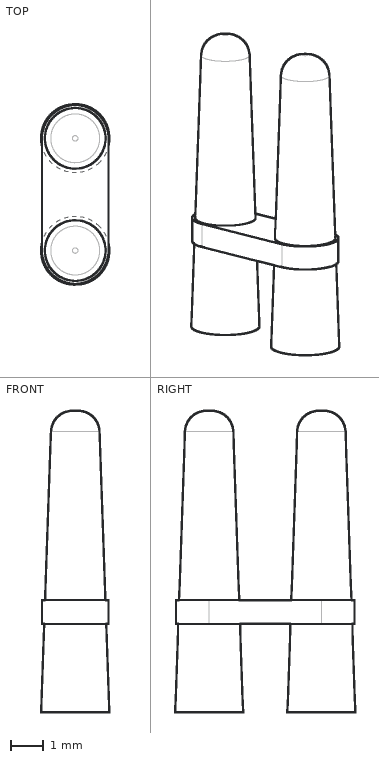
import cadquery as cq
import math

height = 9.4
base_diameter = 2.13
overall_length = 5.63

draft_angle = 2.0
tip_rounding = 0.68
pin_spacing = overall_length - base_diameter
base_radius = base_diameter / 2
top_radius = base_radius - height * math.tan(math.radians(draft_angle))

web_width = 2.08
web_bottom = 2.75
web_thickness = 0.74


def make_pin(y):
    """Tapered pin whose rounded tip keeps a tiny flat at the top."""
    cone = cq.Solid.makeCone(base_radius, top_radius, height)
    pin = cq.Workplane("XY").add(cone).faces(">Z").edges().fillet(tip_rounding)
    return pin.translate((0, y, 0))


result = (
    cq.Workplane("XY")
    .workplane(offset=web_bottom)
    .slot2D(pin_spacing + web_width, web_width, 90)
    .extrude(web_thickness)
)

for side in (-1, 1):
    result = result.union(make_pin(side * pin_spacing / 2))